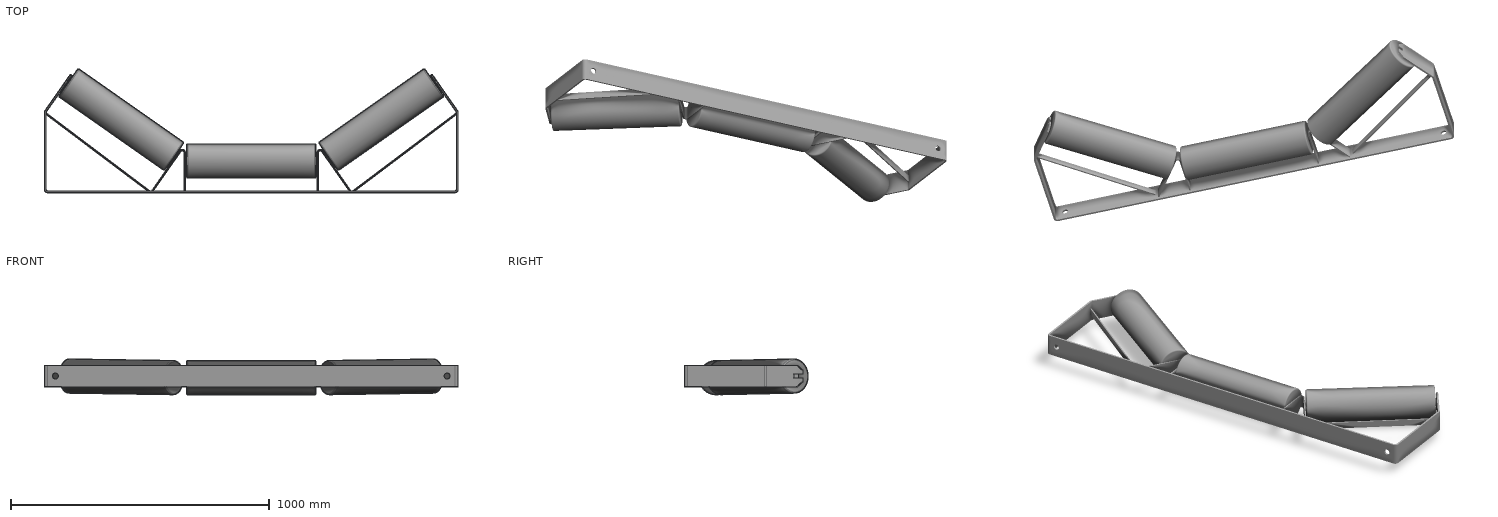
import cadquery as cq
import math


ROLLER_LENGTH = 500.0
ROLLER_RADIUS = 66.4
RIM_FILLET = 5.0
SHAFT_DIAMETER = 32.0
SHOULDER_CLEARANCE = 0.8
BLADE_WIDTH = 15.0
BLADE_HEIGHT = 22.0

TROUGH_ANGLE = 35.0
FORWARD_TILT = 0.7
CENTRE_ROLLER_Y = 123.0
CENTRE_DROP = 6.0
WING_X = 502.0
WING_Y = 283.0
WING_DROP = 3.0
INNER_GAP = 5.0
OUTER_GAP = 5.0

STAND_LENGTH = 1600.0
STRIP_WIDTH = 83.0
STRIP_THICKNESS = 7.0
BEND_RADIUS = 10.0
FLANGE_TOP = 30.0
FLANGE_CHAMFER_WIDTH = 20.0
FLANGE_CHAMFER_LENGTH = 25.0
FOOT_HOLE_DIAMETER = 22.0
FOOT_HOLE_INSET = 43.0
BRACKET_WIDTH = 50.0
BRACKET_THICKNESS = 5.0
STRUT_WIDTH = 25.0
STRUT_THICKNESS = 5.0
STRUT_TOP_Y = 309.0
STRUT_FOOT_X = 392.0

HALF_STRIP = STRIP_THICKNESS / 2
HALF_BRACKET = BRACKET_THICKNESS / 2
ANGLE = math.radians(TROUGH_ANGLE)
AXIS_X, AXIS_Y = math.cos(ANGLE), -math.sin(ANGLE)
UP_X, UP_Y = math.sin(ANGLE), math.cos(ANGLE)


def wing_point(along, across):
    """Point in the XY plane, measured along and across the axis of the left wing roller."""
    x = -WING_X + along * AXIS_X + across * UP_X
    y = WING_Y + along * AXIS_Y + across * UP_Y
    return cq.Vector(x, y, 0)


def wing_location():
    """Location whose local X is the axis of the left wing roller."""
    place = cq.Location(cq.Vector(-WING_X, WING_Y, -WING_DROP))
    trough = cq.Location(cq.Vector(), cq.Vector(0, 0, 1), -TROUGH_ANGLE)
    tilt = cq.Location(cq.Vector(), cq.Vector(0, 1, 0), FORWARD_TILT)
    return place * trough * tilt


def centre_location():
    return cq.Location(cq.Vector(0, CENTRE_ROLLER_Y, -CENTRE_DROP))


def shaft_end(side, gap, plate_thickness):
    """Round shaft from the roller's middle to one end, finishing in a blade as deep as its plate."""
    shoulder = side * (ROLLER_LENGTH / 2 + gap - SHOULDER_CLEARANCE)
    shaft = cq.Workplane("YZ").circle(SHAFT_DIAMETER / 2).extrude(shoulder)
    blade = (
        cq.Workplane("YZ", origin=(shoulder, 0, 0))
        .rect(BLADE_HEIGHT, BLADE_WIDTH)
        .extrude(side * (SHOULDER_CLEARANCE + plate_thickness))
    )
    return shaft.union(blade)


def make_roller(left_gap, left_thickness):
    """Roller along X; its right end always sits in an inner bracket."""
    shell = (
        cq.Workplane("YZ", origin=(-ROLLER_LENGTH / 2, 0, 0))
        .circle(ROLLER_RADIUS)
        .extrude(ROLLER_LENGTH)
        .edges()
        .fillet(RIM_FILLET)
    )
    left_end = shaft_end(-1, left_gap, left_thickness)
    right_end = shaft_end(1, INNER_GAP, BRACKET_THICKNESS)
    return shell.union(left_end).union(right_end).val()


def bent_strip(points, width, thickness):
    """Strip swept along a path in the XY plane, with rounded bends."""
    path = cq.Wire.makePolygon(points)
    path = path.fillet(BEND_RADIUS, path.Vertices()[1:-1])
    profile = cq.Workplane(cq.Plane(points[0], (0, 0, 1), points[1] - points[0]))
    return profile.rect(width, thickness).sweep(cq.Workplane(obj=path))


def flanged_strip():
    """Base, upright and leaning outer flange, bent from one strip with a chamfered tip."""
    flange = -ROLLER_LENGTH / 2 - OUTER_GAP - HALF_STRIP
    flange_tip = wing_point(flange, FLANGE_TOP)
    upright_x = HALF_STRIP - STAND_LENGTH / 2
    below_tip = (flange_tip.x - upright_x) / UP_X
    path = [
        cq.Vector(0, HALF_STRIP, 0),
        cq.Vector(upright_x, HALF_STRIP, 0),
        wing_point(flange, FLANGE_TOP - below_tip),
        flange_tip,
    ]
    tip_corners = cq.selectors.ParallelDirSelector(cq.Vector(AXIS_X, AXIS_Y, 0))
    strip = bent_strip(path, STRIP_WIDTH, STRIP_THICKNESS)
    return strip.edges(tip_corners).chamfer(FLANGE_CHAMFER_LENGTH, FLANGE_CHAMFER_WIDTH)


def inner_bracket():
    """Inverted V: an upright leg for the centre roller and a leaning leg for the wing roller."""
    leg = ROLLER_LENGTH / 2 + INNER_GAP + HALF_BRACKET
    on_axis = wing_point(leg, 0)
    apex_across = (-leg - on_axis.x) / UP_X
    foot_across = (HALF_STRIP - on_axis.y) / UP_Y
    path = [
        cq.Vector(-leg, HALF_STRIP, 0),
        wing_point(leg, apex_across),
        wing_point(leg, foot_across),
    ]
    bracket = bent_strip(path, BRACKET_WIDTH, BRACKET_THICKNESS)
    return bracket.translate((0, 0, -CENTRE_DROP))


def strut():
    """Narrow straight strip bracing the upright against the base."""
    top_x = STRIP_THICKNESS - STAND_LENGTH / 2
    foot_y = STRIP_THICKNESS
    slope = math.atan2(STRUT_TOP_Y - foot_y, -STRUT_FOOT_X - top_x)
    end_height = STRUT_THICKNESS / math.cos(slope)
    foot_length = STRUT_THICKNESS / math.sin(slope)
    outline = [
        (top_x, STRUT_TOP_Y),
        (-STRUT_FOOT_X, foot_y),
        (-STRUT_FOOT_X - foot_length, foot_y),
        (top_x, STRUT_TOP_Y - end_height),
    ]
    return cq.Workplane("XY").polyline(outline).close().extrude(STRUT_WIDTH / 2, both=True)


def foot_hole():
    """Cutter for a fixing hole near one end of the base."""
    hole = cq.Workplane("XZ", origin=(FOOT_HOLE_INSET - STAND_LENGTH / 2, 0, 0))
    return hole.circle(FOOT_HOLE_DIAMETER / 2).extrude(-STRIP_THICKNESS)


def flange_slot():
    """Cutter that opens the outer shaft slot through the flange tip."""
    bottom = -BLADE_HEIGHT / 2
    length = FLANGE_TOP + HALF_STRIP - bottom
    flange = -ROLLER_LENGTH / 2 - OUTER_GAP - HALF_STRIP
    slot = cq.Workplane("XY", origin=(flange, bottom + length / 2, 0))
    slot = slot.box(2 * STRIP_THICKNESS, length, BLADE_WIDTH)
    return cq.Workplane(obj=slot.val().moved(wing_location()))


def make_stand(rollers):
    """Stand with two mirrored sides, with seats for the shaft ends of the rollers."""
    side = flanged_strip().union(inner_bracket()).union(strut())
    side = side.cut(foot_hole()).cut(flange_slot())
    stand = side.union(side.mirror("YZ"), clean=True)
    for roller in rollers:
        stand = stand.cut(cq.Workplane(obj=roller))
    return stand.val()


centre_roller = make_roller(INNER_GAP, BRACKET_THICKNESS).moved(centre_location())
left_roller = make_roller(OUTER_GAP, STRIP_THICKNESS).moved(wing_location())
rollers = [left_roller, centre_roller, left_roller.mirror("YZ")]

result = cq.Compound.makeCompound([make_stand(rollers), *rollers])